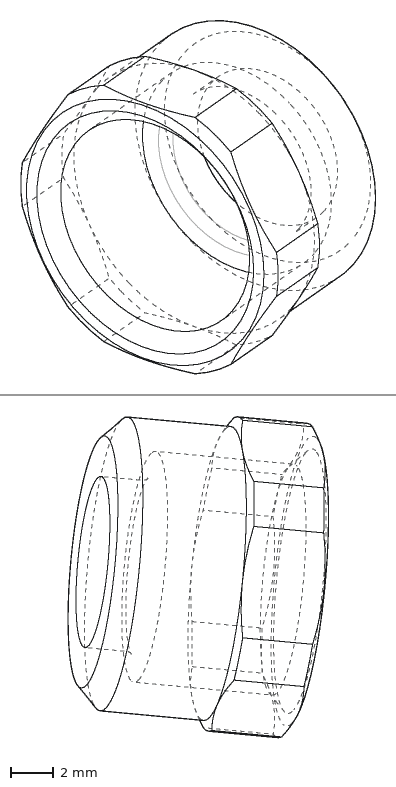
import cadquery as cq
import math

corner_diameter = 14.98
across_flats = 14.0
total_length = 10.0
hex_length = 4.0
front_y = -total_length / 2
back_y = total_length / 2

collar_radius = across_flats / 2
collar_chamfer = 1.0

front_face_radius = 6.9
corner_angle = math.radians(30)

counterbore_radius = 5.5
mouth_radius = 6.3
mouth_depth = mouth_radius - counterbore_radius
counterbore_depth = 7.5
bore_radius = 4.07
bore_lip_fillet = 0.5


def revolve_profile(points):
    """Revolve a closed (radius, y) outline about the Y axis."""
    return cq.Workplane("XY").polyline(points).close().revolve(360, (0, 0, 0), (0, 1, 0))


def make_hexagon():
    """Hexagon with flats facing +Z and -Z, its corners rounded and trimmed by cones."""
    corner_radius = corner_diameter / 2
    hex_back_y = front_y + hex_length
    front_trim = (corner_radius - front_face_radius) * math.tan(corner_angle)
    back_trim = (corner_radius - collar_radius) * math.tan(corner_angle)
    prism = (
        cq.Workplane("XZ", origin=(0, front_y, 0))
        .polygon(6, across_flats / math.cos(math.pi / 6))
        .extrude(-hex_length)
    )
    envelope = revolve_profile([
        (0, front_y),
        (front_face_radius, front_y),
        (corner_radius, front_y + front_trim),
        (corner_radius, hex_back_y - back_trim),
        (collar_radius, hex_back_y),
        (0, hex_back_y),
    ])
    return prism.intersect(envelope)


def make_collar():
    """Round collar with a chamfered back end, starting inside the hexagon."""
    return revolve_profile([
        (0, front_y + hex_length / 2),
        (front_face_radius, front_y + hex_length / 2),
        (collar_radius, front_y + hex_length),
        (collar_radius, back_y - collar_chamfer),
        (collar_radius - collar_chamfer, back_y),
        (0, back_y),
    ])


def make_bore():
    """Flared counterbore from the front and a through bore with a rounded lip."""
    floor_y = front_y + counterbore_depth
    profile = (
        cq.Workplane("XY")
        .moveTo(0, front_y)
        .lineTo(mouth_radius, front_y)
        .lineTo(counterbore_radius, front_y + mouth_depth)
        .lineTo(counterbore_radius, floor_y)
        .lineTo(bore_radius + bore_lip_fillet, floor_y)
        .radiusArc((bore_radius, floor_y + bore_lip_fillet), bore_lip_fillet)
        .lineTo(bore_radius, back_y)
        .lineTo(0, back_y)
        .close()
    )
    return profile.revolve(360, (0, 0, 0), (0, 1, 0))


result = make_hexagon().union(make_collar()).cut(make_bore())